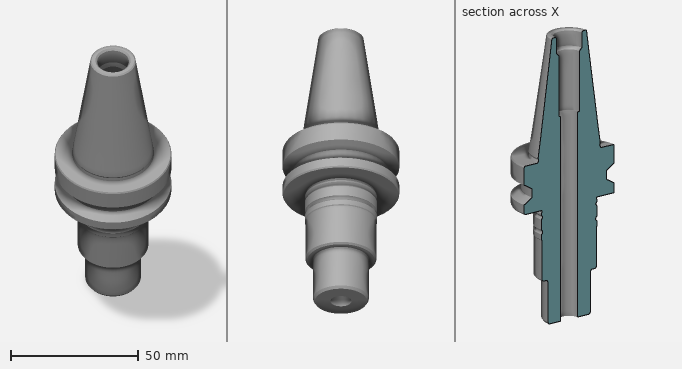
import cadquery as cq
import math

total_length = 117.9
gauge_radius = 15.9
gauge_z = 69.6
taper_slope = 7 / 48
tip_chamfer = 0.5
tip_radius = gauge_radius - (total_length - gauge_z) * taper_slope

neck_radius = 15.6
neck_top_z = 68.9
neck_foot_radius = 16.2

flange_radius = 46.0 / 2
flange_top_z = 67.8
flange_bottom_z = 47.6
flange_chamfer = 0.6
flange_edge_drop = 0.4
grip_radius = 38.0 / 2
grip_top_z = 57.7
grip_bottom_z = 54.1
flank_angle = math.radians(30)
flank_height = (flange_radius - grip_radius) * math.tan(flank_angle)

collar_radius = 28.5 / 2
collar_top_z = 46.6
collar_bottom_z = 35.4
collar_chamfer = 0.4
groove_depth = 0.7
groove_width = 1.9
v_groove_center_z = 44.9
arc_groove_center_z = 38.8

shank_radius = 28.0 / 2
shank_bottom_z = 18.3
shank_chamfer = 0.7
nose_radius = 21.9 / 2
nose_step_z = 17.6
nose_flare = 0.2
nose_chamfer_height = 1.1
nose_chamfer_width = 0.7

through_radius = 8.4 / 2
thread_radius = 10.1 / 2
socket_radius = 12.5 / 2
socket_depth = 7.0
thread_depth = 33.0
mouth_chamfer = 0.7


def add_v_groove(profile, center_z):
    """Continue a downward outline through a shallow groove with two conical sides."""
    half_width = groove_width / 2
    return (
        profile.lineTo(collar_radius, center_z + half_width)
        .lineTo(collar_radius - groove_depth, center_z)
        .lineTo(collar_radius, center_z - half_width)
    )


def add_arc_groove(profile, center_z):
    """Continue a downward outline through a shallow groove with a round floor."""
    half_width = groove_width / 2
    return (
        profile.lineTo(collar_radius, center_z + half_width)
        .threePointArc(
            (collar_radius - groove_depth, center_z),
            (collar_radius, center_z - half_width),
        )
    )


def make_body():
    """Revolve the outer outline, drawn from the small taper end downward."""
    profile = (
        cq.Workplane("XZ")
        .moveTo(0, total_length)
        .lineTo(tip_radius - tip_chamfer, total_length)
        .lineTo(tip_radius + tip_chamfer * taper_slope, total_length - tip_chamfer)
        .lineTo(gauge_radius, gauge_z)
        .lineTo(neck_radius, neck_top_z)
        .lineTo(neck_foot_radius, flange_top_z)
        .lineTo(flange_radius - flange_edge_drop, flange_top_z)
        .lineTo(flange_radius, flange_top_z - flange_chamfer)
        .lineTo(flange_radius, grip_top_z + flank_height)
        .lineTo(grip_radius, grip_top_z)
        .lineTo(grip_radius, grip_bottom_z)
        .lineTo(flange_radius, grip_bottom_z - flank_height)
        .lineTo(flange_radius, flange_bottom_z + flange_chamfer)
        .lineTo(flange_radius - flange_edge_drop, flange_bottom_z)
        .lineTo(shank_radius, flange_bottom_z)
        .lineTo(shank_radius, collar_top_z + collar_chamfer)
        .lineTo(collar_radius, collar_top_z)
    )
    profile = add_v_groove(profile, v_groove_center_z)
    profile = add_arc_groove(profile, arc_groove_center_z)
    profile = (
        profile.lineTo(collar_radius, collar_bottom_z + collar_chamfer)
        .lineTo(shank_radius, collar_bottom_z)
        .lineTo(shank_radius, shank_bottom_z + shank_chamfer)
        .lineTo(shank_radius - shank_chamfer, shank_bottom_z)
        .lineTo(nose_radius + nose_flare, shank_bottom_z)
        .lineTo(nose_radius, nose_step_z)
        .lineTo(nose_radius, nose_chamfer_height)
        .lineTo(nose_radius - nose_chamfer_width, 0)
        .lineTo(0, 0)
        .close()
    )
    return profile.revolve(360, (0, 0, 0), (0, 1, 0))


def make_bore():
    """Revolve the stepped bore: chamfered socket, thread core and through hole."""
    socket_floor_z = total_length - socket_depth
    thread_floor_z = total_length - thread_depth
    cone_height = socket_radius - thread_radius
    return (
        cq.Workplane("XZ")
        .moveTo(0, total_length)
        .lineTo(socket_radius + mouth_chamfer, total_length)
        .lineTo(socket_radius, total_length - mouth_chamfer)
        .lineTo(socket_radius, socket_floor_z)
        .lineTo(thread_radius, socket_floor_z - cone_height)
        .lineTo(thread_radius, thread_floor_z)
        .lineTo(through_radius, thread_floor_z)
        .lineTo(through_radius, 0)
        .lineTo(0, 0)
        .close()
        .revolve(360, (0, 0, 0), (0, 1, 0))
    )


result = make_body().cut(make_bore())